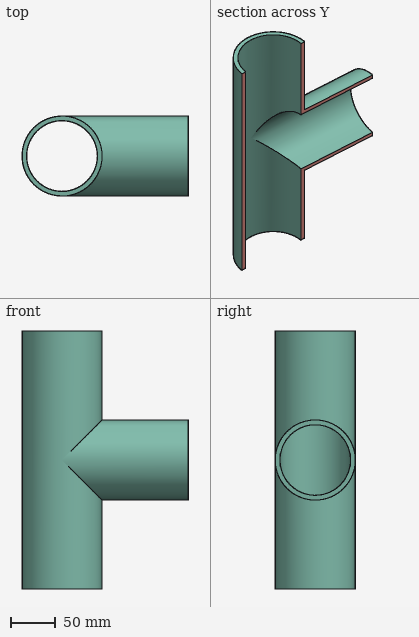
import cadquery as cq

outer_diameter = 90.0
wall_thickness = 5.4
main_length = 290.0
branch_reach = 142.0

bore_diameter = outer_diameter - 2 * wall_thickness


def main_cylinder(diameter):
    """Cylinder along Z, centred on the origin, over the main pipe length."""
    return cq.Workplane("XY").circle(diameter / 2).extrude(main_length / 2, both=True)


def branch_cylinder(diameter):
    """Cylinder along +X from the main pipe axis to the branch end."""
    return cq.Workplane("YZ").circle(diameter / 2).extrude(branch_reach)


def tee(diameter):
    """Main and branch cylinders of one diameter joined together."""
    return main_cylinder(diameter).union(branch_cylinder(diameter))


result = tee(outer_diameter).cut(tee(bore_diameter))